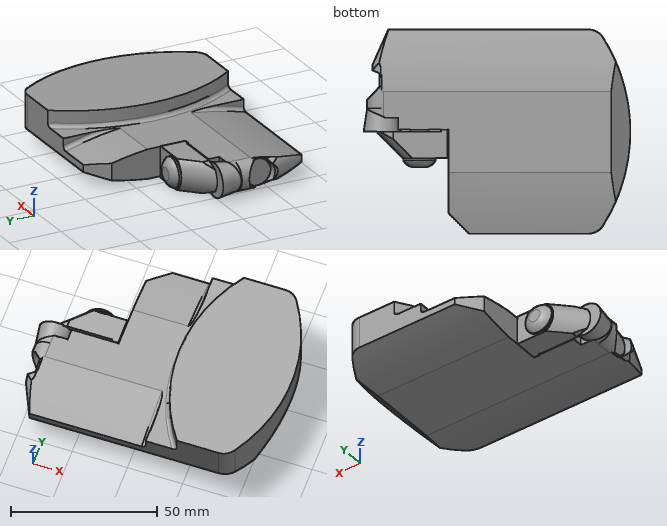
import cadquery as cq
import math


length = 91.35
width = 70.0
height = 18.0
insert_diameter = 12.7
insert_radius = insert_diameter / 2
rear_x = length - insert_radius
half_width = width / 2
half_thickness = 5.6
top_z = height - insert_radius
blend_radius = 1.5

arc_radius = 60.0
corner_radius = 6.0
step_x = 44.4
rear_chamfer = 6.6

shoulder_x = 22.7
shoulder_chamfer = 7.1
seat_y = -0.6
pocket_x = 5.6
pocket_y = -4.75
tip_x = 2.1
tip_angle = math.radians(24)

flat_half_width = 13.9
edge_half_thickness = 1.4
flank_bulge = 0.5
flank_end_x = 44.3

nose_axis_x = 0.4
nose_front_x = nose_axis_x - half_thickness
recess_radius = 5.5
recess_y = -16.3
recess_floor_x = -0.2
disc_radius = 5.0
disc_height = 0.7
ridge_front_x = -3.3
ridge_front_half_height = 2.9
ridge_root_x = -0.5
ridge_root_half_height = 4.4
ridge_end_y = -23.3

insert_height = 7.95
clearance_angle = math.radians(8.5)

clamp_thickness = 11.8
clamp_half_thickness = clamp_thickness / 2
clamp_back_y = 9.0
clamp_gap = 0.3
clamp_tip_x = -2.0
clamp_lip_x = 20.1
clamp_tip_bulge = 2.3
clamp_slope_start_x = 3.7
clamp_slope_drop = 2.4

screw_x = 12.8
shank_radius = 3.2
head_radius = 5.6
head_rim_height = 0.8
head_height = 3.2
head_flat_radius = 2.4
dome_bulge = 0.5

reach = 2 * length


def bulged_midpoint(start, end, bulge):
    """Point offset from the middle of a chord, to the left of the start-to-end direction."""
    dx = end[0] - start[0]
    dy = end[1] - start[1]
    chord = math.hypot(dx, dy)
    return (
        (start[0] + end[0]) / 2 - bulge * dy / chord,
        (start[1] + end[1]) / 2 + bulge * dx / chord,
    )


def make_insert():
    bottom_radius = insert_radius - insert_height * math.tan(clearance_angle)
    return (
        cq.Workplane("XY")
        .polyline([(0, 0), (insert_radius, 0), (bottom_radius, -insert_height), (0, -insert_height)])
        .close()
        .revolve(360, (0, 0), (0, 1))
    )


def make_blank():
    """Full-height prism of the plan outline, with a circular rear end and rounded rear corners."""
    rear_center_x = rear_x - arc_radius
    corner_y = half_width - corner_radius
    corner_x = rear_center_x + math.sqrt((arc_radius - corner_radius) ** 2 - corner_y**2)
    tangent_angle = math.atan2(corner_y, corner_x - rear_center_x)
    tangent_x = rear_center_x + arc_radius * math.cos(tangent_angle)
    tangent_y = arc_radius * math.sin(tangent_angle)
    middle_angle = (tangent_angle + math.pi / 2) / 2
    middle_x = corner_x + corner_radius * math.cos(middle_angle)
    middle_y = corner_y + corner_radius * math.sin(middle_angle)
    return (
        cq.Workplane("XY")
        .workplane(offset=-half_thickness)
        .moveTo(nose_front_x, -half_width)
        .lineTo(corner_x, -half_width)
        .threePointArc((middle_x, -middle_y), (tangent_x, -tangent_y))
        .threePointArc((rear_x, 0), (tangent_x, tangent_y))
        .threePointArc((middle_x, middle_y), (corner_x, half_width))
        .lineTo(shoulder_x + shoulder_chamfer, half_width)
        .lineTo(shoulder_x, half_width - shoulder_chamfer)
        .lineTo(shoulder_x, seat_y)
        .lineTo(pocket_x, seat_y)
        .lineTo(pocket_x, pocket_y)
        .lineTo(nose_front_x, pocket_y)
        .close()
        .extrude(half_thickness + top_z)
    )


def make_step_cutter():
    """Space above the blade, ending in a circular wall with a blended foot."""
    wall_center_x = step_x + arc_radius
    wall_end_x = wall_center_x - math.sqrt(arc_radius**2 - half_width**2)
    return (
        cq.Workplane("XY")
        .workplane(offset=half_thickness)
        .moveTo(-length, -half_width)
        .lineTo(wall_end_x, -half_width)
        .threePointArc((step_x, 0), (wall_end_x, half_width))
        .lineTo(-length, half_width)
        .close()
        .extrude(top_z)
        .edges(cq.selectors.NearestToPointSelector((step_x, 0, half_thickness)))
        .fillet(blend_radius)
    )


def make_flank_cutter(end_x):
    """Space above the curved +Y flank, from in front of the nose to end_x."""
    inner = (flat_half_width, half_thickness)
    outer = (half_width, edge_half_thickness)
    return (
        cq.Workplane("YZ")
        .workplane(offset=-length)
        .moveTo(*inner)
        .threePointArc(bulged_midpoint(inner, outer, flank_bulge), outer)
        .lineTo(half_width, top_z)
        .lineTo(flat_half_width, top_z)
        .close()
        .extrude(length + end_x)
    )


def make_upper_flank_cutter():
    """Flank space that stops at a wall with a blended foot."""
    foot = (flank_end_x, (flat_half_width + half_width) / 2, half_thickness / 2)
    return (
        make_flank_cutter(flank_end_x)
        .edges(cq.selectors.NearestToPointSelector(foot))
        .fillet(blend_radius)
    )


def make_rounded_front(plane):
    """Half space whose front is a half cylinder along the plane's normal, touching the plane's origin."""
    return (
        cq.Workplane(plane)
        .moveTo(half_thickness, -half_thickness)
        .threePointArc((0, 0), (half_thickness, half_thickness))
        .lineTo(half_thickness, reach)
        .lineTo(reach, reach)
        .lineTo(reach, -half_thickness)
        .close()
        .extrude(reach, both=True)
    )


def make_rear_chamfer_cutter():
    bottom_z = -half_thickness
    return (
        cq.Workplane("XZ")
        .polyline([(rear_x - rear_chamfer, bottom_z), (rear_x, bottom_z), (rear_x, bottom_z + rear_chamfer)])
        .close()
        .extrude(half_width, both=True)
    )


def make_nose_recess_cutter():
    """Round recess around the disc, and the space in front of the ridge."""
    recess = (
        cq.Workplane("YZ", origin=(recess_floor_x, recess_y, 0))
        .circle(recess_radius)
        .extrude(-length)
    )
    disc = (
        cq.Workplane("YZ", origin=(recess_floor_x, recess_y, 0))
        .circle(disc_radius)
        .extrude(-disc_height)
    )
    ridge_space = (
        cq.Workplane("XZ", origin=(0, ridge_end_y, 0))
        .polyline([
            (ridge_root_x, half_thickness),
            (ridge_root_x, ridge_root_half_height),
            (ridge_front_x, ridge_front_half_height),
            (ridge_front_x, -ridge_front_half_height),
            (ridge_root_x, -ridge_root_half_height),
            (ridge_root_x, -half_thickness),
            (-length, -half_thickness),
            (-length, half_thickness),
        ])
        .close()
        .extrude(ridge_end_y - recess_y)
    )
    return recess.union(ridge_space).cut(disc)


def make_clamp():
    end_x = shoulder_x - clamp_gap
    bevel_top_x = clamp_tip_x + clamp_back_y
    body = (
        cq.Workplane("XY")
        .workplane(offset=-clamp_half_thickness)
        .polyline([
            (clamp_tip_x, 0),
            (clamp_lip_x, 0),
            (clamp_lip_x, seat_y),
            (end_x, seat_y),
            (end_x, clamp_back_y),
            (bevel_top_x, clamp_back_y),
        ])
        .close()
        .extrude(clamp_thickness)
    )
    bevel_plane = cq.Plane(origin=(clamp_tip_x, 0, 0), xDir=(1, -1, 0), normal=(1, 1, 0))
    bevel_envelope = (
        cq.Workplane(bevel_plane)
        .moveTo(clamp_tip_bulge, -clamp_half_thickness)
        .threePointArc((0, 0), (clamp_tip_bulge, clamp_half_thickness))
        .lineTo(reach, clamp_half_thickness)
        .lineTo(reach, -clamp_half_thickness)
        .close()
        .extrude(reach, both=True)
    )
    body = body.intersect(bevel_envelope)
    tip_slope = (
        cq.Workplane("XZ")
        .polyline([
            (clamp_slope_start_x, clamp_half_thickness),
            (clamp_tip_x, clamp_half_thickness),
            (clamp_tip_x, clamp_half_thickness - clamp_slope_drop),
        ])
        .close()
        .extrude(-clamp_back_y)
    )
    return body.cut(tip_slope).cut(tip_slope.mirror("XY"))


def make_screw():
    """Domed head on the clamp's back face and the shank crossing the gap to the blade."""
    rim = (head_radius, clamp_back_y + head_rim_height)
    crown = (head_flat_radius, clamp_back_y + head_height)
    return (
        cq.Workplane("XY", origin=(screw_x, 0, 0))
        .moveTo(0, seat_y)
        .lineTo(shank_radius, seat_y)
        .lineTo(shank_radius, clamp_back_y)
        .lineTo(head_radius, clamp_back_y)
        .lineTo(*rim)
        .threePointArc(bulged_midpoint(rim, crown, -dome_bulge), crown)
        .lineTo(0, crown[1])
        .close()
        .revolve(360, (0, 0), (0, 1))
    )


def make_holder(insert):
    """Head with its blade, nose, clamp and clamp screw in one piece, recessed for the insert."""
    straight_plane = cq.Plane(origin=(nose_front_x, 0, 0), xDir=(1, 0, 0), normal=(0, -1, 0))
    tip_plane = cq.Plane(
        origin=(tip_x, -half_width, 0),
        xDir=(math.cos(tip_angle), math.sin(tip_angle), 0),
        normal=(math.sin(tip_angle), -math.cos(tip_angle), 0),
    )
    holder = make_blank().cut(make_step_cutter())
    for plane in (straight_plane, tip_plane):
        holder = holder.intersect(make_rounded_front(plane))

    upper_flank = make_upper_flank_cutter()
    lower_flank = make_flank_cutter(length).mirror("XY")
    for flank in (upper_flank, lower_flank):
        holder = holder.cut(flank).cut(flank.mirror("XZ"))

    holder = holder.cut(make_rear_chamfer_cutter()).cut(make_nose_recess_cutter())
    holder = holder.union(make_clamp()).union(make_screw())
    return holder.cut(insert)


insert = make_insert()
holder = make_holder(insert)
result = cq.Compound.makeCompound([holder.solids().val(), insert.val()])